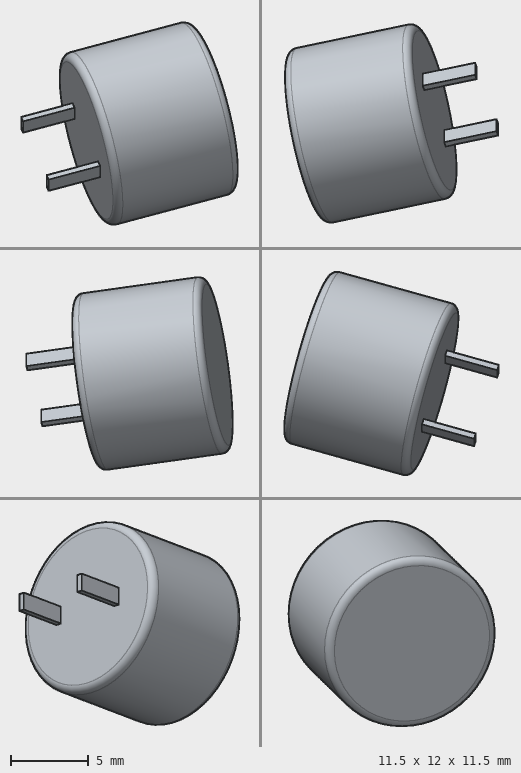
import cadquery as cq

overall_length = 12.01
body_length = 8.5
body_diameter = 11.5
edge_radius = 0.5
pin_pitch = 5.08
pin_width = 0.4
pin_height = 1.16

pin_length = overall_length - body_length


def make_body():
    """Cylinder from Y = 0 to Y = body_length with both rims rounded."""
    cylinder = cq.Workplane("XZ").circle(body_diameter / 2).extrude(-body_length)
    return cylinder.faces("<Y or >Y").edges().fillet(edge_radius)


def make_pins():
    """Two rectangular pins standing out of the Y = 0 face toward -Y."""
    return (
        cq.Workplane("XZ")
        .pushPoints([(-pin_pitch / 2, 0), (pin_pitch / 2, 0)])
        .rect(pin_width, pin_height)
        .extrude(pin_length)
    )


result = make_body().union(make_pins())